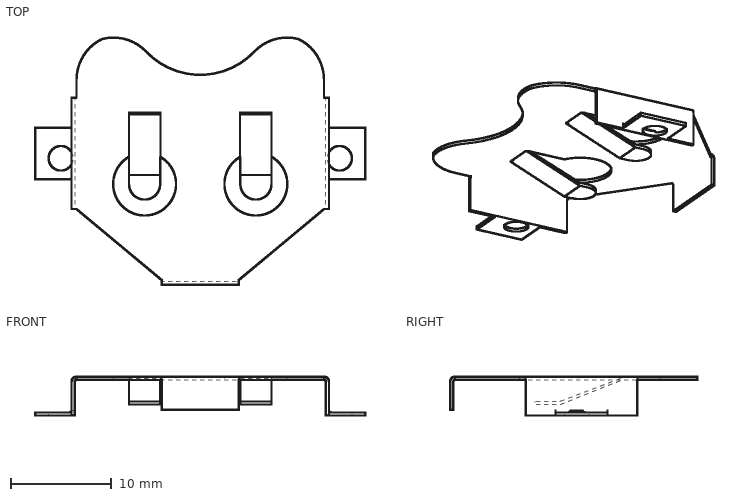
import cadquery as cq
import math

thickness = 0.33
bend_radius = 0.5
length_x = 32.7
length_y = 24.5
height = 3.85
overlap = 0.03

plate_half_width = 12.25
plate_front_half_width = 3.85
side_top_y = 20.3
lobe_radius = 4.48
lobe_peak_x = 8.6
notch_radius = 7.4
notch_bottom_y = 20.8

side_wall_front_y = 7.5
side_wall_back_y = 18.55
front_wall_width = 7.65
front_wall_height = 3.3

tab_front_y = 10.43
tab_back_y = 15.55
tab_fillet = 0.15
tab_hole_x = 13.8
tab_hole_y = 12.52
tab_hole_diameter = 2.42

finger_x = 5.51
finger_width = 3.1
finger_root_y = 17.05
finger_knee_y = 10.9
finger_tip_center_y = 9.97
finger_drop = 2.78
finger_root_step = 0.2
opening_radius = 3.1

side_wall_outer_x = plate_half_width + bend_radius
plate_bottom = height - thickness


def top_plate():
    peak_center_y = length_y - lobe_radius
    corner_center_x = plate_half_width - lobe_radius

    dx = lobe_peak_x - corner_center_x
    dy = peak_center_y - side_top_y
    spacing = math.hypot(dx, dy)
    reach = math.sqrt(lobe_radius ** 2 - (spacing / 2) ** 2)
    joint_x = (lobe_peak_x + corner_center_x) / 2 - reach * dy / spacing
    joint_y = (peak_center_y + side_top_y) / 2 + reach * dx / spacing
    joint = (joint_x, joint_y)

    mid_angle = math.atan2(joint_y - side_top_y, joint_x - corner_center_x) / 2
    corner_mid = (
        corner_center_x + lobe_radius * math.cos(mid_angle),
        side_top_y + lobe_radius * math.sin(mid_angle),
    )

    notch_center_y = notch_bottom_y + notch_radius
    blend = notch_radius / (notch_radius + lobe_radius)
    notch_end_x = lobe_peak_x * blend
    notch_end_y = notch_center_y + (peak_center_y - notch_center_y) * blend

    return (
        cq.Workplane("XY", origin=(0, 0, plate_bottom))
        .moveTo(-plate_front_half_width, bend_radius)
        .lineTo(plate_front_half_width, bend_radius)
        .lineTo(plate_half_width, side_wall_front_y)
        .lineTo(plate_half_width, side_top_y)
        .threePointArc(corner_mid, joint)
        .threePointArc((lobe_peak_x, length_y), (notch_end_x, notch_end_y))
        .threePointArc((0, notch_bottom_y), (-notch_end_x, notch_end_y))
        .threePointArc((-lobe_peak_x, length_y), (-joint_x, joint_y))
        .threePointArc((-corner_mid[0], corner_mid[1]), (-plate_half_width, side_top_y))
        .lineTo(-plate_half_width, side_wall_front_y)
        .close()
        .extrude(thickness)
    )


def bent_wall(width, wall_height):
    """Wall centered on X, bent down from the plate, with its outer face at Y = 0."""
    inner_radius = bend_radius - thickness
    bend_z = height - bend_radius
    diagonal = math.sqrt(0.5)
    outer_mid = bend_radius * (1 - diagonal)
    inner_mid = bend_radius - inner_radius * diagonal
    return (
        cq.Workplane("YZ")
        .moveTo(0, height - wall_height)
        .lineTo(0, bend_z)
        .threePointArc((outer_mid, height - outer_mid), (bend_radius, height))
        .lineTo(bend_radius + overlap, height)
        .lineTo(bend_radius + overlap, plate_bottom)
        .lineTo(bend_radius, plate_bottom)
        .threePointArc((inner_mid, height - inner_mid), (thickness, bend_z))
        .lineTo(thickness, height - wall_height)
        .close()
        .extrude(width / 2, both=True)
    )


def right_side():
    """Side wall on +X with its pierced solder tab."""
    wall_length = side_wall_back_y - side_wall_front_y
    wall_center_y = (side_wall_front_y + side_wall_back_y) / 2
    wall = (
        bent_wall(wall_length, height)
        .rotate((0, 0, 0), (0, 0, 1), 90)
        .translate((side_wall_outer_x, wall_center_y, 0))
    )
    fillet_top = thickness + tab_fillet
    fillet_mid = tab_fillet * (1 - math.sqrt(0.5))
    tab = (
        cq.Workplane("XZ", origin=(0, tab_back_y, 0))
        .moveTo(side_wall_outer_x - overlap, 0)
        .lineTo(length_x / 2, 0)
        .lineTo(length_x / 2, thickness)
        .lineTo(side_wall_outer_x + tab_fillet, thickness)
        .threePointArc(
            (side_wall_outer_x + fillet_mid, thickness + fillet_mid),
            (side_wall_outer_x, fillet_top),
        )
        .lineTo(side_wall_outer_x - overlap, fillet_top)
        .close()
        .extrude(tab_back_y - tab_front_y)
    )
    hole = (
        cq.Workplane("XY")
        .center(tab_hole_x, tab_hole_y)
        .circle(tab_hole_diameter / 2)
        .extrude(fillet_top)
    )
    return wall.union(tab).cut(hole)


def finger_opening(x):
    slot_length = finger_root_y - finger_tip_center_y
    base = cq.Workplane("XY", origin=(x, finger_tip_center_y, plate_bottom))
    slot = base.center(0, slot_length / 2).rect(finger_width, slot_length).extrude(thickness)
    return base.circle(opening_radius).extrude(thickness).union(slot)


def finger(x):
    """Tongue sloping down from the slot's back edge to a flat, rounded contact tip."""
    tip_bottom = height - finger_drop
    tip_top = tip_bottom + thickness
    tip_radius = finger_width / 2
    tip_y = finger_tip_center_y - tip_radius
    profile = (
        cq.Workplane("YZ", origin=(x, 0, 0))
        .moveTo(finger_root_y + overlap, height)
        .lineTo(finger_root_y, height)
        .lineTo(finger_root_y - finger_root_step, height - finger_root_step)
        .lineTo(finger_knee_y, tip_top)
        .lineTo(tip_y, tip_top)
        .lineTo(tip_y, tip_bottom)
        .lineTo(finger_knee_y, tip_bottom)
        .lineTo(finger_root_y, plate_bottom)
        .lineTo(finger_root_y + overlap, plate_bottom)
        .close()
        .extrude(finger_width / 2, both=True)
    )
    trim_length = finger_root_y + overlap - finger_tip_center_y
    base = cq.Workplane("XY", origin=(x, finger_tip_center_y, 0))
    plan = base.center(0, trim_length / 2).rect(finger_width, trim_length).extrude(height)
    return profile.intersect(plan.union(base.circle(tip_radius).extrude(height)))


side = right_side()
result = top_plate().union(bent_wall(front_wall_width, front_wall_height))
result = result.union(side).union(side.mirror("YZ"))
for x in (-finger_x, finger_x):
    result = result.cut(finger_opening(x)).union(finger(x))